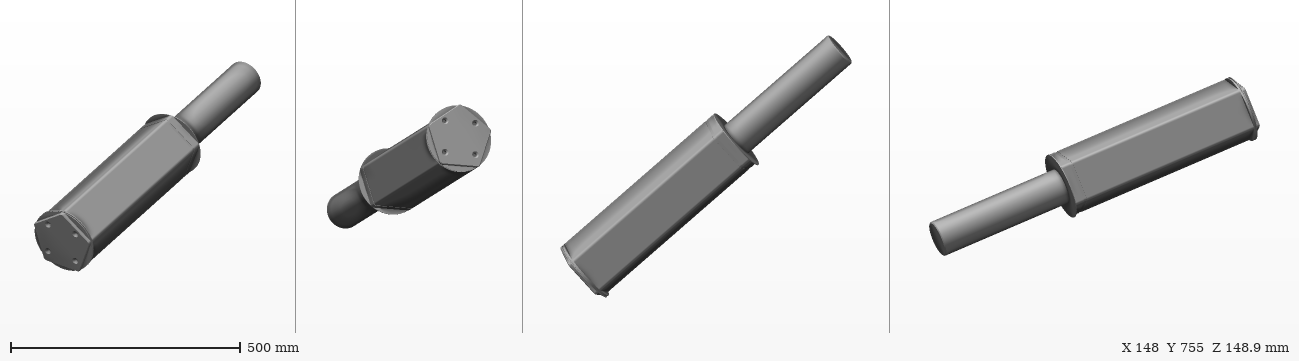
import cadquery as cq
import math

overall_length = 755.0
sides = 5
housing_inscribed_diameter = 124.0
corner_radius = 7.5
flange_diameter = 148.0
flange_thickness = 1.5

front_plate_thickness = 7.5
front_edge_chamfer = 1.5
spacer_diameter = 143.0
spacer_thickness = 3.0
clamp_disc_thickness = 2.0

hole_spacing = 70.0
hole_diameter = 8.0
countersink_diameter = 15.0
countersink_angle = 90

housing_length = 410.0
gasket_thickness = 7.0
gasket_inscribed_diameter = 122.0
rear_cap_thickness = 20.0
pole_diameter = 80.0
pole_chamfer = 2.0

spacer_start = front_plate_thickness + flange_thickness
clamp_disc_start = spacer_start + spacer_thickness
housing_start = clamp_disc_start + clamp_disc_thickness
gasket_start = housing_start + housing_length
rear_cap_start = gasket_start + gasket_thickness
rear_flange_start = rear_cap_start + rear_cap_thickness
pole_start = rear_flange_start + flange_thickness


def pentagon_prism(inscribed_diameter, start, length):
    """Rounded pentagonal prism along +Y with one corner pointing to +Z."""
    corner_distance = inscribed_diameter / 2 / math.cos(math.pi / sides)
    corner_angles = [math.pi / 2 + 2 * math.pi * i / sides for i in range(sides)]
    corners = [(corner_distance * math.cos(a), corner_distance * math.sin(a)) for a in corner_angles]
    prism = cq.Workplane("XZ", origin=(0, start, 0)).polyline(corners).close().extrude(-length)
    return prism.edges("|Y").fillet(corner_radius)


def disc(diameter, start, length):
    """Round disc or bar along +Y."""
    return cq.Workplane("XZ", origin=(0, start, 0)).circle(diameter / 2).extrude(-length)


def make_front_cap():
    """Pentagonal plate with a round flange behind it and four countersunk holes."""
    plate = pentagon_prism(housing_inscribed_diameter, 0, front_plate_thickness)
    plate = plate.faces("<Y").chamfer(front_edge_chamfer)
    cap = plate.union(disc(flange_diameter, front_plate_thickness, flange_thickness))
    hole_depth = front_plate_thickness + flange_thickness
    return (
        cap.faces("<Y")
        .workplane(origin=(0, 0, 0))
        .rect(hole_spacing, hole_spacing, forConstruction=True)
        .vertices()
        .cskHole(hole_diameter, countersink_diameter, countersink_angle, depth=hole_depth)
    )


def make_spacer():
    """Round core that leaves a narrow groove between the two front flanges."""
    return disc(spacer_diameter, spacer_start, spacer_thickness)


def make_clamp_disc():
    """Round disc against the front end of the housing."""
    return disc(flange_diameter, clamp_disc_start, clamp_disc_thickness)


def make_housing():
    """Long pentagonal main body."""
    return pentagon_prism(housing_inscribed_diameter, housing_start, housing_length)


def make_gasket():
    """Thin pentagonal layer, slightly recessed from the housing faces."""
    return pentagon_prism(gasket_inscribed_diameter, gasket_start, gasket_thickness)


def make_rear_cap():
    """Pentagonal block with a round flange on its rear face."""
    block = pentagon_prism(housing_inscribed_diameter, rear_cap_start, rear_cap_thickness)
    return block.union(disc(flange_diameter, rear_flange_start, flange_thickness))


def make_pole():
    """Round pole standing on the rear flange, chamfered at its free end."""
    pole = disc(pole_diameter, pole_start, overall_length - pole_start)
    return pole.faces(">Y").chamfer(pole_chamfer)


front_cap = make_front_cap()
spacer = make_spacer()
clamp_disc = make_clamp_disc()
housing = make_housing()
gasket = make_gasket()
rear_cap = make_rear_cap()
pole = make_pole()

result = cq.Compound.makeCompound([
    front_cap.solids().val(),
    spacer.solids().val(),
    clamp_disc.solids().val(),
    housing.solids().val(),
    gasket.solids().val(),
    rear_cap.solids().val(),
    pole.solids().val(),
])